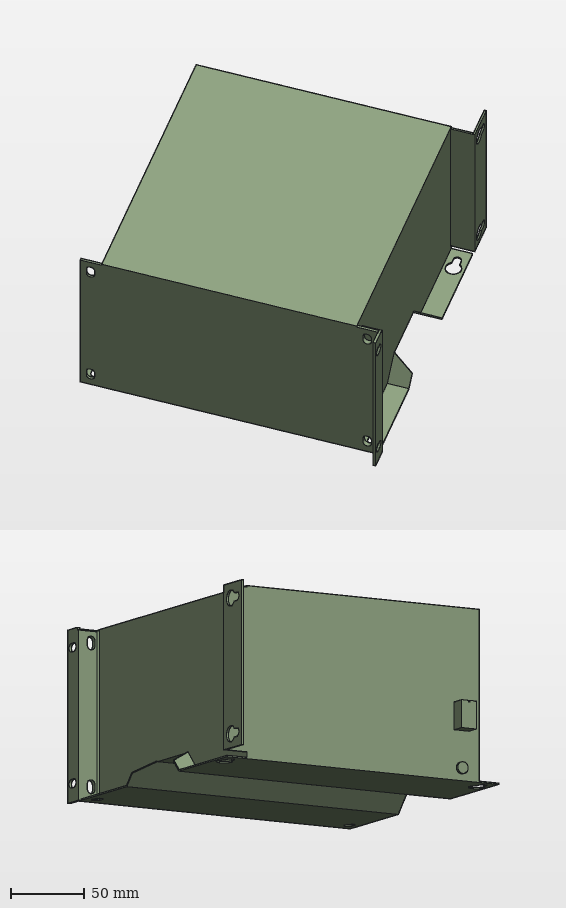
import cadquery as cq
import math

flange_reach = 15.5
body_width = 184.5
body_depth = 201.7
body_height = 120.5
base_width = body_width + 2 * flange_reach
body_right = flange_reach + body_width
middle_y = body_depth / 2

sheet = 1.0
tunnel_mouth = 70.4
tunnel_roof = 40.4
tunnel_rise = 16.5

plate_thickness = 1.8
plate_height = 119.6

column_x = (7.4, 207.5)
slot_width = 6.0
slot_length = 9.5
keyhole_radius = 5.6
keyhole_neck_radius = 2.9
keyhole_reach = 8.2
flange_slot_y = 11.85
flange_keyhole_y = 184.1
plate_slot_z = (10.2, 110.2)

front_bracket_thickness = 1.8
front_bracket_left = 203.0
front_bracket_inner_height = 118.5
front_bracket_side = 2.0
front_bracket_reach = 11.2
front_side_slot_y = -4.7
front_side_slot_length = 9.2
front_side_slot_z = (12.9, 107.5)
bracket_right = base_width + front_bracket_side

rear_bracket_thickness = 1.5
rear_bracket_bottom = 4.8
rear_bracket_top = 119.5
overall_depth = 236.0
rear_bracket_back = overall_depth - front_bracket_reach
rear_keyhole_y = body_depth + 8.1
rear_keyhole_z = (14.5, 109.0)

connector_left = 23.7
connector_width = 11.7
connector_depth = 10.2
connector_bottom = 34.9
connector_height = 19.4
groove_left = 28.8
groove_width = 0.9
groove_depth = 1.0
gland_radius = 4.1
gland_length = 2.0
gland_x = connector_left + connector_width / 2
gland_z = 8.8

through = 10.0


def block(x_range, y_range, z_range):
    """Box between two X, two Y and two Z positions."""
    size = [end - start for start, end in (x_range, y_range, z_range)]
    corner = (x_range[0], y_range[0], z_range[0])
    return cq.Workplane("XY").box(*size, centered=False).translate(corner)


def slot_cutter(length):
    """Slot along Y and centred on the origin, cutting along Z."""
    return cq.Workplane("XY").slot2D(length, slot_width, 90).extrude(through, both=True)


def keyhole_cutter():
    """Keyhole with its large hole on the origin and its neck toward +Y, cutting along Z."""
    hole = cq.Workplane("XY").circle(keyhole_radius).extrude(through, both=True)
    neck = (
        cq.Workplane("XY")
        .center(0, keyhole_reach / 2)
        .slot2D(keyhole_reach + 2 * keyhole_neck_radius, 2 * keyhole_neck_radius, 90)
        .extrude(through, both=True)
    )
    return hole.union(neck)


def facing_x(cutter):
    """Turn a cutter that runs along Z so that it runs along X."""
    return cutter.rotate((0, 0, 0), (0, 1, 0), 90)


def facing_y(cutter):
    """Turn a cutter that runs along Z so that it runs along Y."""
    return cutter.rotate((0, 0, 0), (1, 0, 0), 90)


def tunnel(offset, length):
    """Trapezoidal prism along X whose roof and slopes lie at an offset above the tunnel surface."""
    slope_angle = math.atan2(tunnel_rise, (tunnel_mouth - tunnel_roof) / 2)
    bend_shift = offset * math.tan(slope_angle / 2)
    half_mouth = tunnel_mouth / 2 + bend_shift
    half_roof = tunnel_roof / 2 + bend_shift
    outline = [
        (middle_y - half_mouth, offset),
        (middle_y - half_roof, tunnel_rise + offset),
        (middle_y + half_roof, tunnel_rise + offset),
        (middle_y + half_mouth, offset),
    ]
    return cq.Workplane("YZ").polyline(outline).close().extrude(length)


def make_body():
    """Solid box with the tunnel cut through its underside."""
    body = block((flange_reach, body_right), (0, body_depth), (0, body_height))
    return body.cut(tunnel(0, base_width))


def make_left_flange():
    """Flange sheet that rises over the tunnel without a break."""
    flat = block((0, flange_reach), (0, body_depth), (0, sheet))
    return flat.union(tunnel(sheet, flange_reach)).cut(tunnel(0, flange_reach))


def make_slope_tab():
    """Rear tab on the tunnel slope: full length at the body, half as long at the free edge."""
    slope_run = (tunnel_mouth - tunnel_roof) / 2
    slope_length = math.hypot(slope_run, tunnel_rise)
    slope_plane = cq.Plane(
        origin=(body_right, middle_y + tunnel_mouth / 2, 0),
        xDir=(1, 0, 0),
        normal=(0, tunnel_rise, slope_run),
    )
    outline = [(0, 0), (flange_reach, 0), (flange_reach, -slope_length / 2), (0, -slope_length)]
    return cq.Workplane(slope_plane).polyline(outline).close().extrude(sheet)


def make_right_flange():
    """Flange sheet left open across the tunnel roof, with a tab on each slope."""
    flat = block((body_right, base_width), (0, body_depth), (0, sheet))
    flat = flat.cut(tunnel(0, base_width))
    rear_tab = make_slope_tab()
    front_tab = rear_tab.mirror("XZ", (0, middle_y, 0))
    return flat.union(rear_tab).union(front_tab)


def make_front_bracket():
    """Angle whose side leg is slotted and as tall as the body; its inner leg stops below the plate top."""
    behind_plate = (plate_thickness, plate_thickness + front_bracket_thickness)
    inner_leg = block(
        (front_bracket_left, bracket_right), behind_plate, (0, front_bracket_inner_height)
    )
    side_leg = block(
        (base_width, bracket_right), (-front_bracket_reach, plate_thickness), (0, body_height)
    )
    bracket = inner_leg.union(side_leg)
    for z in front_side_slot_z:
        cutter = facing_x(slot_cutter(front_side_slot_length))
        bracket = bracket.cut(cutter.translate((bracket_right, front_side_slot_y, z)))
    return bracket


def make_rear_bracket():
    """Angle level with the rear face, with two keyholes in its side leg."""
    height = (rear_bracket_bottom, rear_bracket_top)
    front_y = body_depth - rear_bracket_thickness
    inner_leg = block((body_right, bracket_right), (front_y, body_depth), height)
    side_leg = block(
        (bracket_right - rear_bracket_thickness, bracket_right), (front_y, rear_bracket_back), height
    )
    for z in rear_keyhole_z:
        side_leg = side_leg.cut(facing_x(keyhole_cutter()).translate((bracket_right, rear_keyhole_y, z)))
    return inner_leg.union(side_leg)


def make_connector():
    """Rear connector block with a narrow groove along its top."""
    connector_top = connector_bottom + connector_height
    y_range = (body_depth, body_depth + connector_depth)
    connector = block(
        (connector_left, connector_left + connector_width), y_range, (connector_bottom, connector_top)
    )
    groove = block(
        (groove_left, groove_left + groove_width), y_range, (connector_top - groove_depth, connector_top)
    )
    return connector.cut(groove)


def make_gland():
    """Round boss below the connector."""
    rear_face = cq.Plane(origin=(gland_x, body_depth, gland_z), xDir=(1, 0, 0), normal=(0, 1, 0))
    return cq.Workplane(rear_face).circle(gland_radius).extrude(gland_length)


front_plate = block((0, base_width), (0, plate_thickness), (0, plate_height))

result = make_body().union(make_left_flange()).union(make_right_flange())

for x in column_x:
    result = result.cut(slot_cutter(slot_length).translate((x, flange_slot_y, 0)))
    result = result.cut(keyhole_cutter().translate((x, flange_keyhole_y, 0)))

result = result.union(front_plate).union(make_front_bracket())

for x in column_x:
    for z in plate_slot_z:
        result = result.cut(facing_y(slot_cutter(slot_length)).translate((x, 0, z)))

result = result.union(make_rear_bracket()).union(make_connector()).union(make_gland())